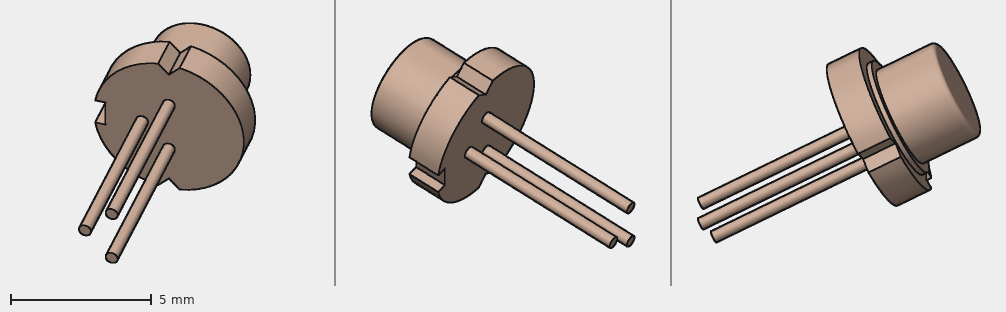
import cadquery as cq
import math

total_length = 10.3
base_thickness = 1.3
cap_height = 2.5
lead_length = total_length - base_thickness - cap_height

base_radius = 2.8
lead_diameter = 0.45
lead_offset = 1.0
lead_angles = (90, 180, 270)

slot_width = 1.0
slot_floor_radius = 2.37
vee_tip_radius = 2.37
vee_half_width = 0.4

flange_radius = 2.2
flange_thickness = 0.2
barrel_radius = 1.85
barrel_edge_radius = 0.2


def cylinder_along_y(radius, start_y, length):
    """Cylinder on the Y axis running from start_y toward +Y."""
    return cq.Workplane("XZ", origin=(0, start_y, 0)).circle(radius).extrude(-length)


def make_vee_cutter(side):
    """Triangular prism for the rim notch on the +Z (side=1) or -Z (side=-1) edge."""
    rim_height = math.sqrt(base_radius**2 - vee_half_width**2)
    flank_scale = 2
    mouth_half_width = flank_scale * vee_half_width
    mouth_height = vee_tip_radius + flank_scale * (rim_height - vee_tip_radius)
    return (
        cq.Workplane("XZ")
        .moveTo(0, side * vee_tip_radius)
        .lineTo(mouth_half_width, side * mouth_height)
        .lineTo(-mouth_half_width, side * mouth_height)
        .close()
        .extrude(-base_thickness)
    )


def make_slot_cutter():
    """Rectangular notch open through the -X rim."""
    return cq.Workplane("XY").box(
        base_radius, base_thickness, slot_width, centered=(False, False, True)
    ).translate((-slot_floor_radius - base_radius, 0, 0))


def make_lead(angle):
    """Round lead hanging from the -Y face of the base, placed by its angle in XZ."""
    x = lead_offset * math.cos(math.radians(angle))
    z = lead_offset * math.sin(math.radians(angle))
    return cylinder_along_y(lead_diameter / 2, -lead_length, lead_length).translate((x, 0, z))


def make_stem():
    """Notched base disc and leads as one solid; the disc starts at Y = 0."""
    stem = cylinder_along_y(base_radius, 0, base_thickness).cut(make_slot_cutter())
    for side in (1, -1):
        stem = stem.cut(make_vee_cutter(side))
    for angle in lead_angles:
        stem = stem.union(make_lead(angle))
    return stem


def make_cap():
    """Flanged cap seated on the +Y face of the base, with a rounded far edge."""
    flange = cylinder_along_y(flange_radius, base_thickness, flange_thickness)
    barrel = cylinder_along_y(barrel_radius, base_thickness, cap_height)
    barrel = barrel.faces(">Y").edges().fillet(barrel_edge_radius)
    return flange.union(barrel)


stem = make_stem()
cap = make_cap()

result = cq.Compound.makeCompound([stem.solids().val(), cap.solids().val()])